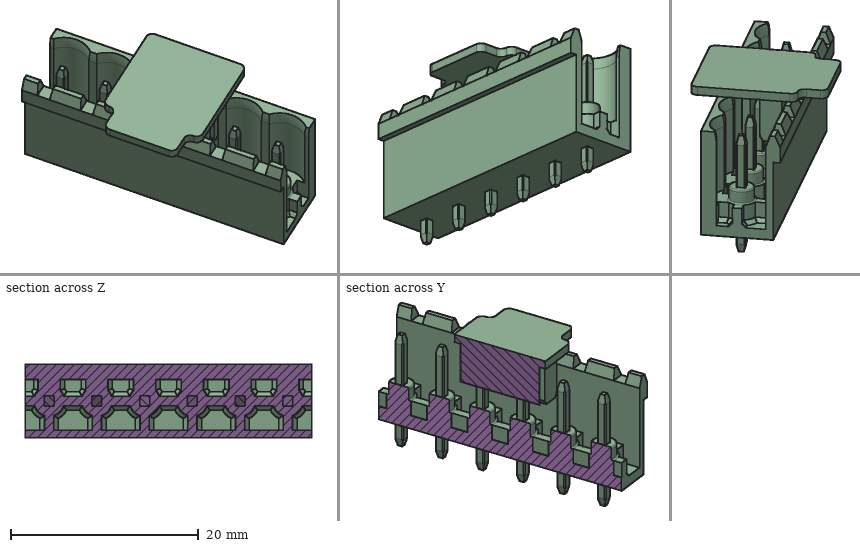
import cadquery as cq
import math


LENGTH = 30.48
PIN_COUNT = 6
PITCH = LENGTH / PIN_COUNT
PIN_POSITIONS = [(i - (PIN_COUNT - 1) / 2) * PITCH for i in range(PIN_COUNT)]

PIN_WIDTH = 1.05
PIN_CORNER = 0.12
PIN_BOTTOM = -2.6
PIN_TOP = 10.82
TIP_LENGTH = 1.0
TIP_WIDTH = 0.55

DEPTH = 7.83
FRONT_Y = -DEPTH / 2
BACK_Y = DEPTH / 2
HEIGHT = 12.0
FLOOR = 1.2
FRONT_WALL = 0.82
BACK_WALL = 1.65
CAVITY_FRONT = FRONT_Y + FRONT_WALL
CAVITY_BACK = BACK_Y - BACK_WALL

LATCH_Y = -4.65
LATCH_BOTTOM = 9.0
LATCH_SHOULDER = 10.75
RIDGE_FRONT = -4.1
RIDGE_BACK = -3.55
NOTCH_FLOOR_WIDTH = 1.43
NOTCH_TOP_WIDTH = 1.77

SCALLOP_RADIUS = 2.77
SCALLOP_CENTRE_Y = 0.43
LEAD_IN = 0.18
LEAD_IN_HEIGHT = 1.3

RIB_TOP = 3.38
RIB_WIDTH = PIN_WIDTH
BACK_RIB_WIDTH = 2.38
FOOT = 0.45
BOSS_RADIUS = 1.65
COLLAR_RADIUS = 1.37
COLLAR_TOP = 4.95
COLLAR_FILLET = 0.15

COVER_THICKNESS = 0.98
COVER_WIDTH = 11.45
COVER_BACK = 6.9
COVER_FRONT = -4.63
TAB_WIDTH = 8.4
TAB_FRONT = -7.62
COVER_RADIUS = 0.73
RAIL_LENGTH = 9.95
RAIL_BOTTOM = 6.95
FRONT_RAIL_Y = -2.9
BACK_RAIL_Y = 1.43
RAIL_SLOPE = 1.0
RAIL_SLOPE_HEIGHT = 0.52
BACK_SLOPE = 0.4
BACK_SLOPE_HEIGHT = 1.22


def along_x(points, length):
    """Prism of a Y-Z outline, centred on X = 0."""
    return cq.Workplane("YZ").polyline(points).close().extrude(length / 2, both=True)


def along_y(points, y_start, y_end):
    """Prism of an X-Z outline that runs from y_start to y_end."""
    face = cq.Workplane("XZ", origin=(0, y_start, 0)).polyline(points).close()
    return face.extrude(y_start - y_end)


def footed_outline(width):
    """Outline of a rib that stands on the floor and spreads at its foot."""
    half = width / 2
    return [
        (-half - FOOT, 0),
        (-half - FOOT, FLOOR),
        (-half, FLOOR + FOOT),
        (-half, RIB_TOP),
        (half, RIB_TOP),
        (half, FLOOR + FOOT),
        (half + FOOT, FLOOR),
        (half + FOOT, 0),
    ]


def pin_column(bottom, height):
    """Straight column with the section of a pin."""
    column = cq.Workplane("XY", origin=(0, 0, bottom)).rect(PIN_WIDTH, PIN_WIDTH).extrude(height)
    return column.edges("|Z").chamfer(PIN_CORNER)


def channel():
    """Floor, back wall and latched front wall as one section, with the middle rib."""
    section = (
        cq.Workplane("YZ")
        .moveTo(CAVITY_FRONT, FLOOR)
        .lineTo(CAVITY_BACK, FLOOR)
        .lineTo(CAVITY_BACK, HEIGHT - LEAD_IN_HEIGHT)
        .tangentArcPoint((CAVITY_BACK + LEAD_IN, HEIGHT), relative=False)
        .lineTo(BACK_Y, HEIGHT)
        .lineTo(BACK_Y, 0)
        .lineTo(FRONT_Y, 0)
        .lineTo(FRONT_Y, LATCH_BOTTOM)
        .lineTo(LATCH_Y, LATCH_BOTTOM)
        .lineTo(LATCH_Y, LATCH_SHOULDER)
        .lineTo(RIDGE_FRONT, HEIGHT)
        .lineTo(RIDGE_BACK, HEIGHT)
        .lineTo(CAVITY_FRONT, LATCH_SHOULDER)
        .close()
        .extrude(LENGTH / 2, both=True)
    )
    return section.union(along_x(footed_outline(RIB_WIDTH), LENGTH))


def scallop():
    """Round hollow behind a pin, opening out at its top edge."""
    hollow = (
        cq.Workplane("XZ")
        .moveTo(0, RIB_TOP)
        .lineTo(SCALLOP_RADIUS, RIB_TOP)
        .lineTo(SCALLOP_RADIUS, HEIGHT - LEAD_IN_HEIGHT)
        .tangentArcPoint((SCALLOP_RADIUS + LEAD_IN, HEIGHT), relative=False)
        .lineTo(0, HEIGHT)
        .close()
        .revolve(360, (0, 0), (0, 1))
    )
    behind_pin = cq.Workplane("XY").box(LENGTH, BACK_Y, HEIGHT, centered=(True, False, False))
    return hollow.translate((0, SCALLOP_CENTRE_Y, 0)).intersect(behind_pin)


def latch_notch():
    """Gap in the latch in front of a pin."""
    floor_half = NOTCH_FLOOR_WIDTH / 2
    top_half = NOTCH_TOP_WIDTH / 2
    outline = [
        (-floor_half, LATCH_SHOULDER),
        (floor_half, LATCH_SHOULDER),
        (top_half, HEIGHT),
        (-top_half, HEIGHT),
    ]
    return along_y(outline, LATCH_Y, CAVITY_FRONT)


def boss():
    """Round boss with a spread foot and a collar on top."""
    flare_top = RIB_TOP + COLLAR_FILLET
    rounding_start = COLLAR_TOP - COLLAR_FILLET
    return (
        cq.Workplane("XZ")
        .lineTo(BOSS_RADIUS + FOOT, 0)
        .lineTo(BOSS_RADIUS + FOOT, FLOOR)
        .lineTo(BOSS_RADIUS, FLOOR + FOOT)
        .lineTo(BOSS_RADIUS, RIB_TOP)
        .lineTo(COLLAR_RADIUS + COLLAR_FILLET, RIB_TOP)
        .tangentArcPoint((COLLAR_RADIUS, flare_top), relative=False)
        .lineTo(COLLAR_RADIUS, rounding_start)
        .tangentArcPoint((COLLAR_RADIUS - COLLAR_FILLET, COLLAR_TOP), relative=False)
        .lineTo(0, COLLAR_TOP)
        .close()
        .revolve(360, (0, 0), (0, 1))
    )


def pin_support():
    """Boss under a pin, with the ribs that join it to both walls."""
    front_rib = along_y(footed_outline(RIB_WIDTH), FRONT_Y, 0)
    back_rib = along_y(footed_outline(BACK_RIB_WIDTH), 0, CAVITY_BACK)
    return boss().union(front_rib).union(back_rib)


def make_housing():
    body = channel()
    for x in PIN_POSITIONS:
        body = body.cut(scallop().translate((x, 0, 0)))
        body = body.cut(latch_notch().translate((x, 0, 0)))
        body = body.union(pin_support().translate((x, 0, 0)))
    for x in PIN_POSITIONS:
        body = body.cut(pin_column(0, COLLAR_TOP).translate((x, 0, 0)))
    return body


def tip_envelope():
    """Square column that tapers to both pin ends."""
    half = PIN_WIDTH / 2
    tip_half = TIP_WIDTH / 2
    outline = [
        (-tip_half, PIN_BOTTOM),
        (tip_half, PIN_BOTTOM),
        (half, PIN_BOTTOM + TIP_LENGTH),
        (half, PIN_TOP - TIP_LENGTH),
        (tip_half, PIN_TOP),
        (-tip_half, PIN_TOP),
        (-half, PIN_TOP - TIP_LENGTH),
        (-half, PIN_BOTTOM + TIP_LENGTH),
    ]
    return along_x(outline, PIN_WIDTH).intersect(along_y(outline, -half, half))


def make_pin(x):
    column = pin_column(PIN_BOTTOM, PIN_TOP - PIN_BOTTOM)
    return column.intersect(tip_envelope()).translate((x, 0, 0))


def cover_plate():
    """Flat plate with a narrower tab at the front and rounded corners."""
    plate = (
        cq.Workplane("XY", origin=(0, 0, HEIGHT))
        .moveTo(-COVER_WIDTH / 2, COVER_BACK)
        .lineTo(-COVER_WIDTH / 2, COVER_FRONT)
        .lineTo(-TAB_WIDTH / 2, COVER_FRONT)
        .lineTo(-TAB_WIDTH / 2, TAB_FRONT)
        .lineTo(TAB_WIDTH / 2, TAB_FRONT)
        .lineTo(TAB_WIDTH / 2, COVER_FRONT)
        .lineTo(COVER_WIDTH / 2, COVER_FRONT)
        .lineTo(COVER_WIDTH / 2, COVER_BACK)
        .close()
        .extrude(COVER_THICKNESS)
    )
    return plate.edges("|Z").fillet(COVER_RADIUS)


def cover_rail(inner_y, outer_y, outer_slope, outer_slope_height):
    """Rail under the cover, beside the pins, with sloped lower edges."""
    outward = math.copysign(0.3, outer_y)
    outline = [
        (inner_y, HEIGHT),
        (inner_y, RAIL_BOTTOM + RAIL_SLOPE_HEIGHT),
        (inner_y + outward * RAIL_SLOPE, RAIL_BOTTOM),
        (outer_y - outward * outer_slope, RAIL_BOTTOM),
        (outer_y, RAIL_BOTTOM + outer_slope_height),
        (outer_y, HEIGHT),
    ]
    return along_x(outline, RAIL_LENGTH)


def make_cover():
    front_rail = cover_rail(-PIN_WIDTH / 2, FRONT_RAIL_Y, RAIL_SLOPE, RAIL_SLOPE_HEIGHT)
    back_rail = cover_rail(PIN_WIDTH / 2, BACK_RAIL_Y, BACK_SLOPE, BACK_SLOPE_HEIGHT)
    return cover_plate().union(front_rail).union(back_rail)


housing = make_housing()
pins = [make_pin(x) for x in PIN_POSITIONS]
cover = make_cover()

result = cq.Compound.makeCompound([housing.val(), *[pin.val() for pin in pins], cover.val()])